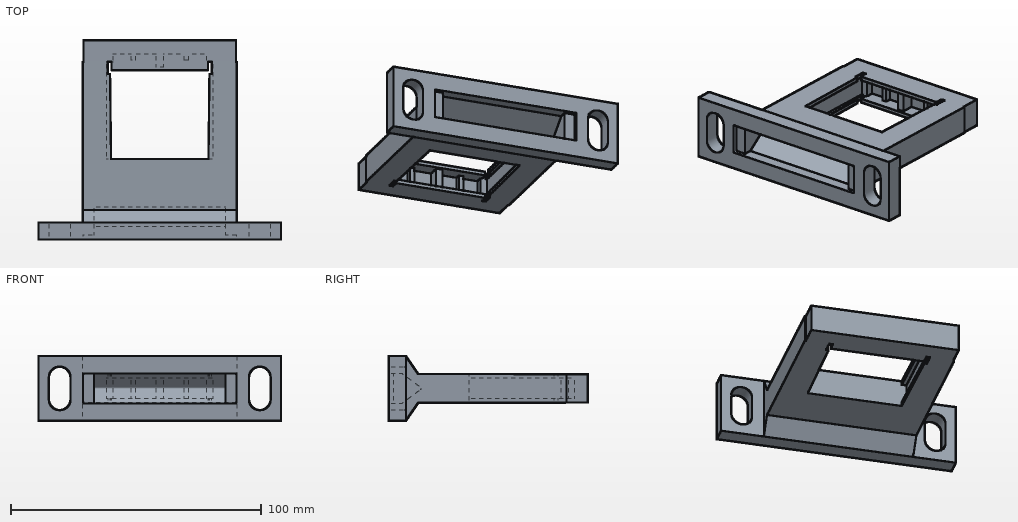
import cadquery as cq

flange_width = 97.0
flange_height = 26.0
flange_depth = 6.9

slot_width = 8.5
slot_height = 17.3
slot_offset = 40.0

total_length = 79.6
body_end = 71.0
body_half_width = 30.8
base_half_height = 5.8
end_half_height = 5.7
flare_end = 11.8
cap_half_width = 30.5
lip_thickness = 1.65

window_start = 32.2
window_start_half_width = 19.4
window_end_half_width = 19.8
notch_start = 66.1
notch_half_width = 20.8

groove_half_width = 21.3
groove_half_height = end_half_height - lip_thickness

recess_half_width = 30.6
recess_half_height = 6.0
recess_depth = 1.9
recess_corner_radius = 0.4
funnel_half_width = 26.3
funnel_taper_start = 5.3
funnel_end = 13.4
funnel_end_radius = 0.6

tongue_start = 67.6
tongue_half_width = 19.3
tongue_corner_radius = 0.4
pocket_half_width = 18.6
pocket_end = 74.2
center_rib_width = 2.8
center_rib_start = 68.9
side_rib_width = 1.9
side_rib_start = 71.8
side_rib_offset = 10.6


def block(half_width, y_start, y_end, half_height, center_x=0.0):
    """Box centred on Z = 0 that runs from y_start to y_end."""
    length = y_end - y_start
    return (
        cq.Workplane("XY")
        .box(2 * half_width, length, 2 * half_height)
        .translate((center_x, y_start + length / 2, 0))
    )


def side_profile(upper_points, half_width):
    """Mirror a (y, z) line about Z = 0 and extrude the outline to both sides in X."""
    lower_points = [(y, -z) for y, z in reversed(upper_points) if z != 0]
    outline = cq.Workplane("YZ").polyline(upper_points + lower_points).close()
    return outline.extrude(half_width, both=True)


def plan_profile(right_points, half_height):
    """Mirror an (x, y) line about X = 0 and extrude the outline to both sides in Z."""
    left_points = [(-x, y) for x, y in reversed(right_points)]
    outline = cq.Workplane("XY").polyline(right_points + left_points).close()
    return outline.extrude(half_height, both=True)


def make_flange():
    flange = block(flange_width / 2, 0, flange_depth, flange_height / 2)
    slots = (
        cq.Workplane("XZ")
        .pushPoints([(-slot_offset, 0), (slot_offset, 0)])
        .slot2D(slot_height, slot_width, 90)
        .extrude(-flange_depth)
    )
    return flange.cut(slots)


def make_body():
    body = side_profile(
        [
            (flange_depth, flange_height / 2),
            (flare_end, base_half_height),
            (body_end, end_half_height),
        ],
        body_half_width,
    )
    window = plan_profile(
        [
            (window_start_half_width, window_start),
            (window_end_half_width, notch_start),
            (notch_half_width, notch_start),
            (notch_half_width, body_end),
        ],
        flange_height,
    )
    groove = block(groove_half_width, window_start, body_end, groove_half_height)
    return body.cut(window).cut(groove)


def make_recess():
    recess = block(recess_half_width, 0, recess_depth, recess_half_height)
    recess = recess.edges("|Y").fillet(recess_corner_radius)
    funnel = side_profile(
        [
            (0, recess_half_height),
            (funnel_taper_start, recess_half_height),
            (funnel_end, 0),
        ],
        funnel_half_width,
    )
    funnel = funnel.edges("|X and >Y").fillet(funnel_end_radius)
    return recess.union(funnel)


def make_cap():
    cap = block(cap_half_width, body_end, total_length, end_half_height)
    tongue = block(tongue_half_width, tongue_start, body_end, end_half_height)
    tongue = tongue.edges("|Z and <Y").fillet(tongue_corner_radius)
    pocket = block(pocket_half_width, body_end, pocket_end, groove_half_height)
    tongue_gap = block(tongue_half_width, tongue_start, body_end, groove_half_height)
    cap = cap.union(tongue).cut(pocket).cut(tongue_gap)

    cap = cap.union(block(center_rib_width / 2, center_rib_start, pocket_end, groove_half_height))
    for x in (-side_rib_offset, side_rib_offset):
        cap = cap.union(block(side_rib_width / 2, side_rib_start, pocket_end, groove_half_height, x))
    return cap


result = make_flange().union(make_body()).cut(make_recess()).union(make_cap())